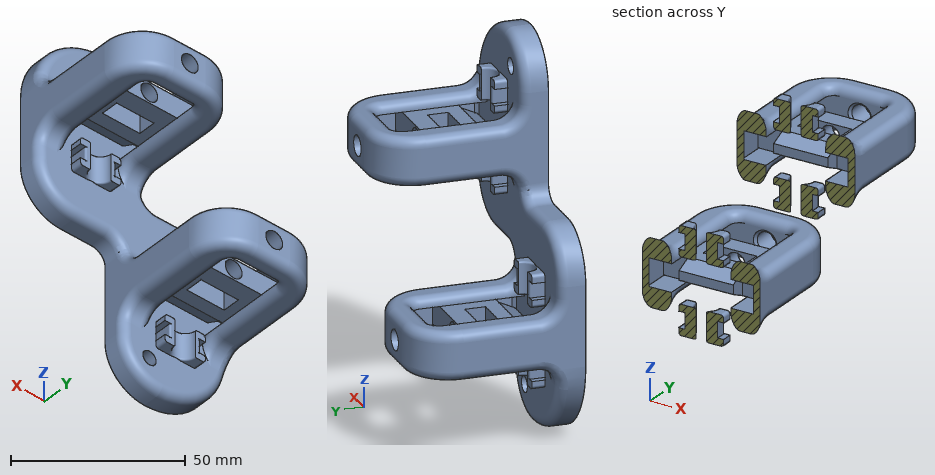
import cadquery as cq
TOTAL_WIDTH = 72.0
TOTAL_HEIGHT = 113.0
TOTAL_DEPTH = 51.0

LOBE_WIDTH = 40.0
LOBE_HEIGHT = 65.0
LOBE_X = (TOTAL_WIDTH - LOBE_WIDTH) / 2
LOBE_Z = (TOTAL_HEIGHT - LOBE_HEIGHT) / 2
PLATE_THICKNESS = 8.0
CORNER_RADIUS = 15.0
BIG_CORNER_RADIUS = LOBE_WIDTH - CORNER_RADIUS
WAIST_RADIUS = 5.0
EDGE_RADIUS = 3.0
SCREW_DIAMETER = 5.0
SCREW_INSET = 10.0

LOOP_HEIGHT = 15.0
LOOP_ROOT_RADIUS = 6.0
LOOP_CORNER_RADIUS = 14.0
OPENING_WIDTH = 20.0
OPENING_HEIGHT = 2 * LOOP_HEIGHT
OPENING_CORNER_RADIUS = 3.0
END_WALL = 8.0
OPENING_END = TOTAL_DEPTH - END_WALL

GROOVE_SPAN = 36.0
GROOVE_HEIGHT = LOOP_HEIGHT - 2 * EDGE_RADIUS
GROOVE_CHAMFER = 1.0

BOLT_DIAMETER = 6.3
BOLT_CHAMFER = 0.8

SADDLE_OFFSET = 12.4
SADDLE_WIDTH = 15.3
SADDLE_LENGTH = 10.1
SADDLE_TOP = 12.0
SADDLE_CORNER_RADIUS = 1.0
WINDOW_HEIGHT = 5.1
CABLE_RADIUS = 3.8
CABLE_EDGE_RADIUS = 0.6
BRIDGE_WIDTH = 11.3
BRIDGE_FRONT = 3.0
BRIDGE_FRONT_RADIUS = 2.0
BRIDGE_BACK_RADIUS = 0.6

CLAMP_WIDTH = 35.0
CLAMP_THICKNESS = 7.7
CLAMP_FRONT = 16.2
CLAMP_BACK = 33.2
NOSE_WIDTH = 18.3
NOSE_LENGTH = 5.0
NOSE_TIP_THICKNESS = 3.0
NUT_SLOT_WIDTH = 14.1
NUT_SLOT_FRONT = 20.9
NUT_SLOT_BACK = 27.1

PICK_MARGIN = 1.1


def box(width, y_start, y_end, height):
    """Box centred on X and Z that runs from y_start to y_end."""
    return cq.Workplane("XZ", origin=(0, y_start, 0)).rect(width, height).extrude(y_start - y_end)


def rod(diameter, y_start, y_end):
    """Round rod along the Y axis from y_start to y_end."""
    return cq.Workplane("XZ", origin=(0, y_start, 0)).circle(diameter / 2).extrude(y_start - y_end)


def at_each_lobe(body):
    """Two copies of a body given about the Y axis: one on the upper lobe, one on the lower."""
    upper = body.translate((LOBE_X, 0, LOBE_Z))
    return [upper.rotate((0, 0, 0), (0, 1, 0), turn) for turn in (0, 180)]


def on_both_lobes(body):
    """Both copies joined, for adding to or cutting from the holder."""
    upper, lower = at_each_lobe(body)
    return upper.union(lower)


def lobe_prism():
    """Lobe outline over the full depth; the corner inside the other lobe stays square."""
    x = LOBE_WIDTH / 2
    z = LOBE_HEIGHT / 2
    return (
        cq.Workplane("XZ")
        .moveTo(-x, -z)
        .lineTo(-x, z - CORNER_RADIUS)
        .tangentArcPoint((CORNER_RADIUS - x, z), relative=False)
        .tangentArcPoint((x, z - BIG_CORNER_RADIUS), relative=False)
        .lineTo(x, CORNER_RADIUS - z)
        .tangentArcPoint((x - CORNER_RADIUS, -z), relative=False)
        .close()
        .extrude(-TOTAL_DEPTH)
    )


def outline_prism():
    """Both lobes over the full depth, with the two inner corners of the waist rounded."""
    prism = on_both_lobes(lobe_prism())
    waist_x = LOBE_WIDTH - TOTAL_WIDTH / 2
    waist_z = LOBE_HEIGHT - TOTAL_HEIGHT / 2
    for side in (-1, 1):
        corner = (side * waist_x, TOTAL_DEPTH / 2, -side * waist_z)
        prism = prism.edges(cq.selectors.NearestToPointSelector(corner)).fillet(WAIST_RADIUS)
    return prism


def side_prism():
    """Plate and loop slabs over the full width, with rounded roots between them."""
    slab = box(TOTAL_WIDTH, 0, TOTAL_DEPTH, LOOP_HEIGHT)
    slab = slab.translate((0, 0, LOBE_Z)).union(slab.translate((0, 0, -LOBE_Z)))
    prism = box(TOTAL_WIDTH, 0, PLATE_THICKNESS, TOTAL_HEIGHT).union(slab)
    root_reach = LOBE_Z + LOOP_HEIGHT
    roots = cq.selectors.BoxSelector(
        (-TOTAL_WIDTH, PLATE_THICKNESS - PICK_MARGIN, -root_reach),
        (TOTAL_WIDTH, PLATE_THICKNESS + PICK_MARGIN, root_reach),
    )
    return prism.edges("|X").edges(roots).fillet(LOOP_ROOT_RADIUS)


def outer_shape():
    """Plate and solid loops; each rounded edge follows its whole smooth contour."""
    shape = outline_prism().intersect(side_prism())
    shape = shape.faces(">Y").edges("|Z").fillet(LOOP_CORNER_RADIUS)
    return shape.faces(">Y").edges("|X").fillet(EDGE_RADIUS)


def cut_openings(holder):
    """Open the loops and round the opening edges, then close the plate behind them again."""
    opening = box(OPENING_WIDTH, 0, OPENING_END, OPENING_HEIGHT)
    opening = opening.edges("|Z and >Y").fillet(OPENING_CORNER_RADIUS)
    holder = holder.cut(on_both_lobes(opening))
    for side in (-1, 1):
        x = side * LOBE_X
        z = side * LOBE_Z
        end_edges = cq.selectors.BoxSelector(
            (x - PICK_MARGIN, OPENING_END - PICK_MARGIN, z - LOOP_HEIGHT),
            (x + PICK_MARGIN, OPENING_END + PICK_MARGIN, z + LOOP_HEIGHT),
        )
        holder = holder.edges("|X").edges(end_edges).fillet(EDGE_RADIUS)
    plate_patch = box(OPENING_WIDTH + 2 * EDGE_RADIUS, 0, PLATE_THICKNESS, OPENING_HEIGHT)
    return holder.union(on_both_lobes(plate_patch))


def guide_groove():
    groove = box(GROOVE_SPAN, PLATE_THICKNESS, OPENING_END, GROOVE_HEIGHT)
    return groove.edges("|Z").chamfer(GROOVE_CHAMFER)


def bolt_hole():
    """Hole through the loop end, chamfered at the opening."""
    chamfer = (
        cq.Workplane("XZ", origin=(0, OPENING_END, 0))
        .circle(BOLT_DIAMETER / 2 + BOLT_CHAMFER)
        .workplane(offset=-BOLT_CHAMFER)
        .circle(BOLT_DIAMETER / 2)
        .loft()
    )
    return rod(BOLT_DIAMETER, OPENING_END, TOTAL_DEPTH).union(chamfer)


def cable_channel():
    """Round channel along Z, centred on the top face of the saddle."""
    channel = cq.Workplane("XY").circle(CABLE_RADIUS).extrude(SADDLE_LENGTH / 2, both=True)
    return channel.translate((0, SADDLE_TOP, 0))


def add_saddles(holder):
    """Saddle blocks rooted in the plate, with a strap window through them and a bridge across each window."""
    block = box(SADDLE_WIDTH, 0, SADDLE_TOP, SADDLE_LENGTH)
    block = block.edges("|Y").fillet(SADDLE_CORNER_RADIUS).cut(cable_channel())
    block = block.faces("<Z or >Z").edges("%CIRCLE").fillet(CABLE_EDGE_RADIUS)
    window = box(SADDLE_WIDTH, 0, SADDLE_TOP, WINDOW_HEIGHT)
    bridge = box(BRIDGE_WIDTH, BRIDGE_FRONT, SADDLE_TOP, WINDOW_HEIGHT)
    bridge = bridge.edges("|Z and <Y").fillet(BRIDGE_FRONT_RADIUS)
    bridge = bridge.edges("|Z and >Y").fillet(BRIDGE_BACK_RADIUS).cut(cable_channel())
    for offset in (-SADDLE_OFFSET, SADDLE_OFFSET):
        place = (0, 0, offset)
        holder = holder.union(on_both_lobes(block.translate(place)))
        holder = holder.cut(on_both_lobes(window.translate(place)))
        holder = holder.union(on_both_lobes(bridge.translate(place)))
    return holder


def screw_hole():
    hole = rod(SCREW_DIAMETER, 0, PLATE_THICKNESS)
    return hole.translate((SCREW_INSET - LOBE_WIDTH / 2, 0, LOBE_HEIGHT / 2 - SCREW_INSET))


def make_holder():
    holder = cut_openings(outer_shape())
    for cutter in (guide_groove(), bolt_hole(), screw_hole()):
        holder = holder.cut(on_both_lobes(cutter))
    return add_saddles(holder)


def make_clamp():
    """Clamp block about the Y axis, with its nose towards the plate."""
    block = box(CLAMP_WIDTH, CLAMP_FRONT, CLAMP_BACK, CLAMP_THICKNESS)
    nose = (
        cq.Workplane("YZ", origin=(-NOSE_WIDTH / 2, 0, 0))
        .moveTo(CLAMP_FRONT, -CLAMP_THICKNESS / 2)
        .lineTo(CLAMP_FRONT, CLAMP_THICKNESS / 2)
        .lineTo(CLAMP_FRONT - NOSE_LENGTH, NOSE_TIP_THICKNESS / 2)
        .lineTo(CLAMP_FRONT - NOSE_LENGTH, -NOSE_TIP_THICKNESS / 2)
        .close()
        .extrude(NOSE_WIDTH)
    )
    nut_slot = box(NUT_SLOT_WIDTH, NUT_SLOT_FRONT, NUT_SLOT_BACK, CLAMP_THICKNESS)
    hole = rod(BOLT_DIAMETER, NUT_SLOT_BACK, CLAMP_BACK)
    return block.union(nose).cut(nut_slot).cut(hole)


holder = make_holder()
clamps = at_each_lobe(make_clamp())

result = cq.Compound.makeCompound([holder.val(), *[clamp.val() for clamp in clamps]])